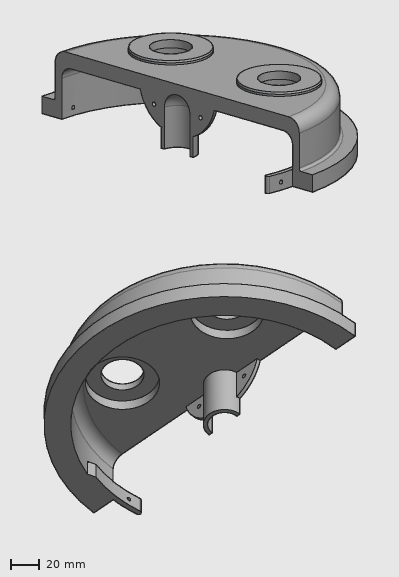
import cadquery as cq
import math

flange_radius = 127.0
flange_height = 13.0
wall_radius = 114.5
cavity_radius = 108.2
roof_height = 51.0
ceiling_height = 39.5
outer_fillet = 10.0
inner_fillet = 9.0
foot_fillet = 2.0

pad_diameter = 60.2
pad_height = 3.0
pad_chamfer_depth = 1.5
pad_chamfer_width = 0.5
pad_offset_x = 50.8
pad_offset_y = 50.8
pad_hole_diameter = 30.2
pad_recess_diameter = 52.0
pad_recess_top = 48.0

socket_radius = 15.0
socket_bore_radius = 12.0
socket_dome_height = 31.2
web_radius = 35.5
web_center_height = 47.8
web_thickness = 3.0
web_hole_diameter = 3.0
web_hole_offset = 21.8

tab_thickness = 3.8
tab_height = 12.7
tab_reach = 23.4
tab_end_fillet = 1.88
tab_root = 24.6
tab_ramp_end = 31.0
tab_hole_diameter = 2.8
tab_hole_offset = 11.5
tab_hole_height = 6.0

wall_hole_depth = 6.4


def cylinder(radius, bottom, top, x=0.0, y=0.0):
    """Vertical cylinder between two heights."""
    return cq.Workplane("XY", origin=(x, y, bottom)).circle(radius).extrude(top - bottom)


def behind_cut_face(body):
    """Keep only the half of a body with Y above zero."""
    size = 2 * flange_radius
    half_space = cq.Workplane("XY").box(2 * size, size, 2 * size, centered=(True, False, True))
    return body.intersect(half_space)


def make_shell():
    wall = cylinder(wall_radius, 0, roof_height).faces(">Z").edges().fillet(outer_fillet)
    flange = cylinder(flange_radius, 0, flange_height)
    foot = (
        cq.Workplane("XZ")
        .moveTo(wall_radius - foot_fillet, flange_height)
        .lineTo(wall_radius + foot_fillet, flange_height)
        .radiusArc((wall_radius, flange_height + foot_fillet), foot_fillet)
        .lineTo(wall_radius - foot_fillet, flange_height + foot_fillet)
        .close()
        .revolve(360, (0, 0, 0), (0, 1, 0))
    )
    cavity = cylinder(cavity_radius, 0, ceiling_height).faces(">Z").edges().fillet(inner_fillet)
    return wall.union(flange).union(foot).cut(cavity)


def make_web():
    web = (
        cq.Workplane("XZ", origin=(0, 0, web_center_height))
        .circle(web_radius)
        .extrude(-web_thickness)
    )
    return web.intersect(cylinder(flange_radius, 0, roof_height))


def cut_socket(body):
    bore = cylinder(socket_bore_radius, 0, socket_dome_height)
    dome = cq.Workplane("XY", origin=(0, 0, socket_dome_height)).sphere(socket_bore_radius)
    web_holes = (
        cq.Workplane("XZ", origin=(0, 0, socket_dome_height))
        .pushPoints([(-web_hole_offset, 0), (web_hole_offset, 0)])
        .circle(web_hole_diameter / 2)
        .extrude(-web_thickness)
    )
    return body.cut(bore).cut(dome).cut(web_holes)


def add_pad(body, x):
    top = roof_height + pad_height
    pad = cylinder(pad_diameter / 2, roof_height, top, x, pad_offset_y)
    pad = pad.faces(">Z").edges().chamfer(pad_chamfer_depth, pad_chamfer_width)
    hole = cylinder(pad_hole_diameter / 2, 0, top, x, pad_offset_y)
    recess = cylinder(pad_recess_diameter / 2, 0, pad_recess_top, x, pad_offset_y)
    return body.union(pad).cut(hole).cut(recess)


def point_on_circle(radius, y):
    """Point on the +X side of a circle about the origin, at a given Y."""
    return (math.sqrt(radius**2 - y**2), y)


def tab_hole(y, start_x, depth):
    """Hole along +X at the height shared by the tab and the wall."""
    return (
        cq.Workplane("YZ", origin=(start_x, y, tab_hole_height))
        .circle(tab_hole_diameter / 2)
        .extrude(depth)
    )


def make_tab():
    inner_radius = cavity_radius - tab_thickness
    end_angle = math.asin(tab_reach / (inner_radius + tab_thickness / 2))
    tab = (
        cq.Workplane("XY")
        .moveTo(*point_on_circle(inner_radius, -inner_radius * math.sin(end_angle)))
        .threePointArc((inner_radius, 0), point_on_circle(inner_radius, tab_root))
        .lineTo(*point_on_circle(cavity_radius, tab_ramp_end))
        .threePointArc(
            (cavity_radius, 0),
            point_on_circle(cavity_radius, -cavity_radius * math.sin(end_angle)),
        )
        .close()
        .extrude(tab_height)
    )
    free_end = cq.selectors.BoxSelector(
        (0, -2 * tab_reach, -tab_height),
        (flange_radius, -tab_reach / 2, 2 * tab_height),
    )
    tab = tab.edges("|Z").edges(free_end).fillet(tab_end_fillet)
    return tab.cut(tab_hole(-tab_hole_offset, 0, flange_radius))


hood = make_shell().union(cylinder(socket_radius, 0, roof_height)).union(make_web())
hood = behind_cut_face(cut_socket(hood))
for pad_x in (-pad_offset_x, pad_offset_x):
    hood = add_pad(hood, pad_x)

wall_hole_length = cavity_radius + wall_hole_depth
hood = hood.cut(tab_hole(tab_hole_offset, -wall_hole_length, wall_hole_length / 2))

result = hood.union(make_tab())